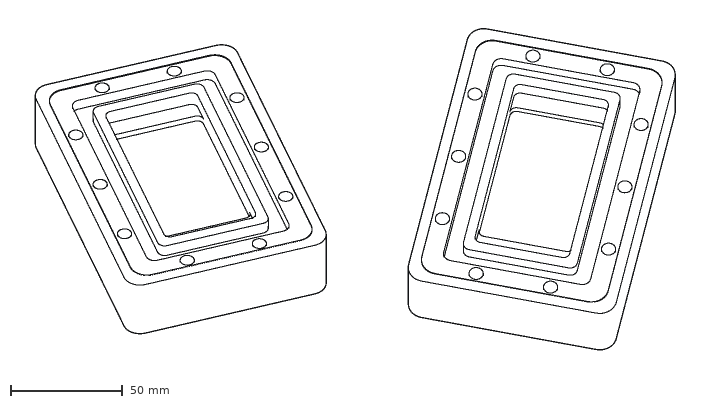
import cadquery as cq

length = 138.1
width = 95.3
height = 30.0
base_height = 10.0
outer_radius = 7.6

recess_length = 127.6
recess_width = 85.5
recess_radius = 7.7
recess_depth = 0.5

groove_length = 110.5
groove_width = 67.4
groove_radius = 3.9
groove_depth = 6.0
island_length = 96.1
island_width = 52.2
island_radius = 3.3

pocket_length = 86.5
pocket_width = 43.4
pocket_radius = 2.9
pocket_depth = 7.0
well_length = 70.5
well_step = 3.0

hole_diameter = 6.4
hole_pitch = 34.1
end_hole_x = 59.5
side_hole_y = 38.1


def rounded_block(size_x, size_y, radius, bottom, top):
    """Centred block with rounded vertical edges, from bottom to top."""
    return (
        cq.Workplane("XY")
        .workplane(offset=bottom)
        .rect(size_x, size_y)
        .extrude(top - bottom)
        .edges("|Z")
        .fillet(radius)
    )


def make_body():
    """Base plate and frame, with the joint between them kept on the outer wall."""
    base = rounded_block(length, width, outer_radius, 0, base_height)
    frame = rounded_block(length, width, outer_radius, base_height, height)
    return base.union(frame, clean=False)


def ring_cut(size_x, size_y, radius, depth):
    """Cut of the given depth below the rim that leaves the island standing."""
    floor = height - depth
    outer = rounded_block(size_x, size_y, radius, floor, height)
    island = rounded_block(island_length, island_width, island_radius, floor, height)
    return outer.cut(island)


def make_pocket():
    """Upper pocket plus the deeper well in its middle."""
    step_z = height - pocket_depth
    upper = rounded_block(pocket_length, pocket_width, pocket_radius, step_z, height)
    well = rounded_block(well_length, pocket_width, pocket_radius, step_z - well_step, height)
    return upper.union(well)


def make_holes():
    """Through holes: three along each long side, two along each short side."""
    points = []
    for side in (-1, 1):
        points += [(i * hole_pitch, side * side_hole_y) for i in (-1, 0, 1)]
        points += [(side * end_hole_x, i * hole_pitch) for i in (-0.5, 0.5)]
    return cq.Workplane("XY").pushPoints(points).circle(hole_diameter / 2).extrude(height)


recess = ring_cut(recess_length, recess_width, recess_radius, recess_depth)
groove = ring_cut(groove_length, groove_width, groove_radius, groove_depth)

result = make_body()
for cutter in (recess, groove, make_pocket(), make_holes()):
    result = result.cut(cutter, clean=False)